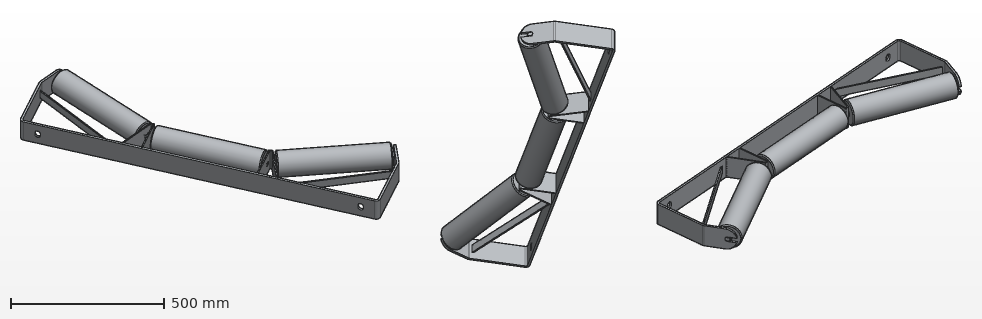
import cadquery as cq
import math

FRAME_WIDTH = 1240.0
STRIP_HEIGHT = 79.0
STRIP_THICKNESS = 8.0
BEND_RADIUS = 15.0
BEND_Y = 205.0
ARM_LENGTH = 114.0
TROUGH_ANGLE = 25.0

ROLLER_DIAMETER = 89.0
ROLLER_LENGTH = 380.0
ROLLER_CHAMFER = 4.0
ROLLER_GAP = 7.0
SHOULDER_DIAMETER = 25.0
JOURNAL_DIAMETER = 17.0
JOURNAL_FLATS = 12.0
CENTRE_AXIS_Y = 103.0
SIDE_AXIS_ALONG = 82.0

BRACKET_THICKNESS = 4.3
BRACKET_TOP_Y = 129.0
BRACKET_BEND_RADIUS = 4.0

STRUT_HEIGHT = 30.0
STRUT_THICKNESS = 5.0
STRUT_ARM_Y = 193.0
STRUT_RAIL_X = 288.0

MOUNT_SLOT_X = 557.0
MOUNT_SLOT_WIDTH = 19.0
MOUNT_SLOT_LENGTH = 26.0

HALF_WIDTH = FRAME_WIDTH / 2
TILT_SIN = math.sin(math.radians(TROUGH_ANGLE))
TILT_COS = math.cos(math.radians(TROUGH_ANGLE))
ROLLER_SPACE = ROLLER_LENGTH + 2 * ROLLER_GAP
SIDE_CENTRE_INWARD = STRIP_THICKNESS + ROLLER_SPACE / 2
BRACKET_SIDE_INWARD = STRIP_THICKNESS + ROLLER_SPACE
BRACKET_CENTRE_X = ROLLER_SPACE / 2
INNER_BEND_RADIUS = BEND_RADIUS - STRIP_THICKNESS


def arm_point(along, inward):
    """XY point of the left side, given along the leaning arm and inward from its outer face."""
    x = -HALF_WIDTH + along * TILT_SIN + inward * TILT_COS
    y = BEND_Y + along * TILT_COS - inward * TILT_SIN
    return (x, y)


def arm_parallel_at_y(inward, y):
    """Point at height y on the line parallel to the left arm, offset inward from it."""
    along = (y - BEND_Y + inward * TILT_SIN) / TILT_COS
    return arm_point(along, inward)


def slab(points, height):
    """Closed XY outline extruded symmetrically about Z = 0."""
    return cq.Workplane("XY").workplane(offset=-height / 2).polyline(points).close().extrude(height)


def bar(diameter, length):
    """Round bar along X, centred on the origin."""
    end = cq.Plane(origin=(-length / 2, 0, 0), xDir=(0, 0, 1), normal=(1, 0, 0))
    return cq.Workplane(end).circle(diameter / 2).extrude(length)


def fillet_at(body, points, radius):
    """Round the Z-parallel edges of a slab that stand at the given XY points."""
    for x, y in points:
        edge = cq.selectors.NearestToPointSelector((x, y, 0))
        body = body.edges("|Z").edges(edge).fillet(radius)
    return body


def side_plane(along, inward):
    """Plane at a point of the left side: local X along the arm, normal along the roller axis."""
    x, y = arm_point(along, inward)
    return cq.Plane(origin=(x, y, 0), xDir=(TILT_SIN, TILT_COS, 0), normal=(TILT_COS, -TILT_SIN, 0))


def make_half_strip():
    """Left half of the bent strip: rail, upright and leaning arm."""
    inner_x = -HALF_WIDTH + STRIP_THICKNESS
    inner_bend_y = BEND_Y - STRIP_THICKNESS * math.tan(math.radians(TROUGH_ANGLE / 2))
    rail_corner = (-HALF_WIDTH, 0)
    arm_corner = (-HALF_WIDTH, BEND_Y)
    inner_rail_corner = (inner_x, STRIP_THICKNESS)
    inner_arm_corner = (inner_x, inner_bend_y)
    strip = slab(
        [
            (0, 0),
            rail_corner,
            arm_corner,
            arm_point(ARM_LENGTH, 0),
            arm_point(ARM_LENGTH, STRIP_THICKNESS),
            inner_arm_corner,
            inner_rail_corner,
            (0, STRIP_THICKNESS),
        ],
        STRIP_HEIGHT,
    )
    strip = fillet_at(strip, [rail_corner, arm_corner], BEND_RADIUS)
    strip = fillet_at(strip, [inner_rail_corner, inner_arm_corner], INNER_BEND_RADIUS)
    return round_arm_tip(strip)


def round_arm_tip(strip):
    """Give the arm a semicircular tip."""
    radius = STRIP_HEIGHT / 2
    tip_block = (
        cq.Workplane(side_plane(ARM_LENGTH - radius / 2, 0))
        .rect(radius, STRIP_HEIGHT)
        .extrude(STRIP_THICKNESS)
    )
    tip_round = (
        cq.Workplane(side_plane(ARM_LENGTH - radius, 0)).circle(radius).extrude(STRIP_THICKNESS)
    )
    return strip.cut(tip_block.cut(tip_round))


def make_shaft_slot():
    """Open slot in the arm: a round seat for the journal that runs out through the tip."""
    seat = side_plane(SIDE_AXIS_ALONG, 0)
    run_out = ARM_LENGTH - SIDE_AXIS_ALONG
    round_seat = cq.Workplane(seat).circle(JOURNAL_DIAMETER / 2).extrude(STRIP_THICKNESS)
    channel = (
        cq.Workplane(seat)
        .center(run_out / 2, 0)
        .rect(run_out, JOURNAL_DIAMETER)
        .extrude(STRIP_THICKNESS)
    )
    return round_seat.union(channel)


def make_mount_slot():
    """Upright obround slot through the rail."""
    return (
        cq.Workplane("XZ", origin=(-MOUNT_SLOT_X, 0, 0))
        .slot2D(MOUNT_SLOT_LENGTH, MOUNT_SLOT_WIDTH, 90)
        .extrude(-STRIP_THICKNESS)
    )


def make_bracket():
    """Folded sheet that stands on the rail and holds a side roller and the centre roller."""
    inner_top_y = BRACKET_TOP_Y - BRACKET_THICKNESS
    inner_inward = BRACKET_SIDE_INWARD + BRACKET_THICKNESS
    inner_x = -BRACKET_CENTRE_X - BRACKET_THICKNESS
    side_corner = arm_parallel_at_y(BRACKET_SIDE_INWARD, BRACKET_TOP_Y)
    centre_corner = (-BRACKET_CENTRE_X, BRACKET_TOP_Y)
    bracket = slab(
        [
            arm_parallel_at_y(BRACKET_SIDE_INWARD, STRIP_THICKNESS),
            side_corner,
            centre_corner,
            (-BRACKET_CENTRE_X, STRIP_THICKNESS),
            (inner_x, STRIP_THICKNESS),
            (inner_x, inner_top_y),
            arm_parallel_at_y(inner_inward, inner_top_y),
            arm_parallel_at_y(inner_inward, STRIP_THICKNESS),
        ],
        STRIP_HEIGHT,
    )
    return fillet_at(bracket, [side_corner, centre_corner], BRACKET_BEND_RADIUS)


def make_strut():
    """Flat brace from the upright down to the rail."""
    arm_x = -HALF_WIDTH + STRIP_THICKNESS
    slope = math.atan2(STRUT_ARM_Y - STRIP_THICKNESS, -STRUT_RAIL_X - arm_x)
    return slab(
        [
            (arm_x, STRUT_ARM_Y),
            (-STRUT_RAIL_X, STRIP_THICKNESS),
            (-STRUT_RAIL_X - STRUT_THICKNESS / math.sin(slope), STRIP_THICKNESS),
            (arm_x, STRUT_ARM_Y - STRUT_THICKNESS / math.cos(slope)),
        ],
        STRUT_HEIGHT,
    )


def make_frame(rollers):
    """Welded frame, with bracket holes that fit the roller journals."""
    half = make_half_strip().cut(make_shaft_slot()).cut(make_mount_slot())
    half = half.union(make_bracket(), clean=False).union(make_strut())
    frame = half.union(half.mirror("YZ"))
    for roller in rollers:
        frame = frame.cut(roller)
    return frame


def make_journal(length):
    """Shaft end with two flats facing +Z and -Z, along X and centred on the origin."""
    flats = cq.Workplane("XY").box(length, JOURNAL_DIAMETER, JOURNAL_FLATS)
    return bar(JOURNAL_DIAMETER, length).intersect(flats)


def make_roller(left_support, right_support):
    """Roller along X, centred on the origin, with journals as long as the supports are thick."""
    shell = bar(ROLLER_DIAMETER, ROLLER_LENGTH).faces("<X or >X").chamfer(ROLLER_CHAMFER)
    shoulder = bar(SHOULDER_DIAMETER, ROLLER_SPACE)
    journal_length = ROLLER_SPACE + left_support + right_support
    journal = make_journal(journal_length).translate(((right_support - left_support) / 2, 0, 0))
    return shell.union(shoulder).union(journal)


def make_centre_roller():
    """Level roller between the two brackets."""
    return make_roller(BRACKET_THICKNESS, BRACKET_THICKNESS).translate((0, CENTRE_AXIS_Y, 0))


def make_side_rollers():
    """Tilted rollers, each between an arm and a bracket."""
    x, y = arm_point(SIDE_AXIS_ALONG, SIDE_CENTRE_INWARD)
    left = (
        make_roller(STRIP_THICKNESS, BRACKET_THICKNESS)
        .rotate((0, 0, 0), (0, 0, 1), -TROUGH_ANGLE)
        .translate((x, y, 0))
    )
    return [left, left.mirror("YZ")]


rollers = [make_centre_roller(), *make_side_rollers()]
frame = make_frame(rollers)

result = cq.Compound.makeCompound([frame.val(), *[roller.val() for roller in rollers]])